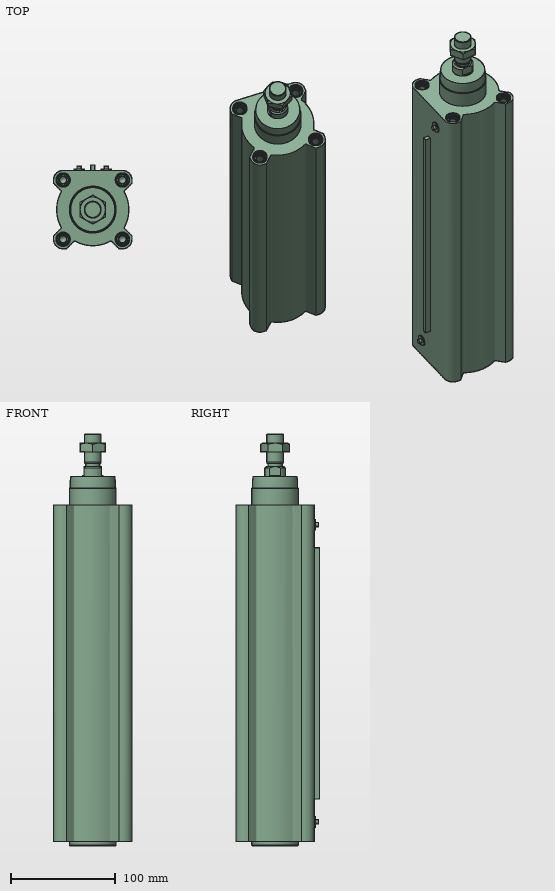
import cadquery as cq
import math


total_length = 393.0
rod_reach = 67.5
rear_boss_length = 4.0
barrel_length = total_length - rod_reach - rear_boss_length

barrel_width = 75.0
half_width = barrel_width / 2
screw_offset = 28.3
lobe_radius = half_width - screw_offset
lobe_flat_end = 25.0
barrel_arc_radius = 34.5
root_fillet = 1.0

collar_diameter = 45.0
collar_step_chamfer = 0.5
collar_step_height = 16.0
collar_height = 27.0
collar_neck_diameter = 43.2
collar_top_diameter = 42.0
collar_crown_bulge = 0.5
boss_chamfer = 0.8

screw_hole_steps = [(13.8, 1.0), (12.0, 2.5), (10.2, 3.5), (8.0, 4.7)]
thread_diameter = 6.5
thread_depth = 15.7
drill_point_angle = 118.0

rail_width = 4.0
rail_length = 240.0
rail_height = 5.0
fitting_offset = 13.0
fitting_inset = 19.0
fitting_pad_diameter = 10.2
fitting_pad_height = 1.0
fitting_pin_diameter = 4.5
fitting_pin_height = 4.0

rod_diameter = 20.0
rod_flat_width = 17.0
rod_flat_start = 28.0
rod_shoulder = 36.5
rod_shoulder_chamfer = 1.5
rod_neck_diameter = 13.8
rod_thread_start = 39.5
rod_thread_diameter = 16.0
rod_thread_chamfer = 0.6
rod_thread_runout = 1.5

nut_width = 24.0
nut_height = 8.3
nut_bottom = 50.7
nut_chamfer_drop = 1.0


def barrel_profile():
    """Round body with four corner lobes; the +Y side is closed flat."""
    gap = half_width - lobe_flat_end
    root_x = (math.sqrt(2 * barrel_arc_radius**2 - gap**2) - gap) / 2
    root_y = root_x + gap
    diagonal = screw_offset + lobe_radius * math.sqrt(0.5)

    def turned(x, y, quarter_turns):
        """The point turned clockwise about the axis."""
        for _ in range(quarter_turns):
            x, y = y, -x
        return (x, y)

    profile = (
        cq.Workplane("XY")
        .moveTo(-screw_offset, half_width)
        .lineTo(screw_offset, half_width)
    )
    for turns in range(4):
        profile = profile.threePointArc(
            turned(diagonal, diagonal, turns),
            turned(half_width, screw_offset, turns),
        )
        if turns < 3:
            profile = (
                profile.lineTo(*turned(half_width, lobe_flat_end, turns))
                .lineTo(*turned(root_y, root_x, turns))
                .threePointArc(
                    turned(barrel_arc_radius, 0, turns),
                    turned(root_y, -root_x, turns),
                )
                .lineTo(*turned(half_width, -lobe_flat_end, turns))
                .lineTo(*turned(half_width, -screw_offset, turns))
            )
    return profile.close()


def make_barrel():
    """Extruded barrel with rounded roots between the lobes and the round body."""
    barrel = barrel_profile().extrude(-barrel_length)

    def is_root(edge):
        middle = edge.Center()
        return math.hypot(middle.x, middle.y) < half_width

    return barrel.edges("|Z").filter(is_root).fillet(root_fillet)


def revolve_about_z(profile):
    """Solid of revolution from a half profile drawn in the XZ plane."""
    return profile.close().revolve(360, (0, 0, 0), (0, 1, 0))


def make_collar():
    """Stepped collar whose upper part narrows along a shallow arc."""
    crown_middle = (
        (collar_neck_diameter + collar_top_diameter) / 4 + collar_crown_bulge,
        (collar_step_height + collar_height) / 2,
    )
    return revolve_about_z(
        cq.Workplane("XZ")
        .lineTo(collar_diameter / 2, 0)
        .lineTo(collar_diameter / 2, collar_step_height - collar_step_chamfer)
        .lineTo(collar_diameter / 2 - collar_step_chamfer, collar_step_height)
        .lineTo(collar_neck_diameter / 2, collar_step_height)
        .threePointArc(crown_middle, (collar_top_diameter / 2, collar_height))
        .lineTo(0, collar_height)
    )


def make_rear_boss():
    return (
        cq.Workplane("XY", origin=(0, 0, -barrel_length))
        .circle(collar_diameter / 2)
        .extrude(-rear_boss_length)
        .faces("<Z")
        .chamfer(boss_chamfer)
    )


def make_screw_hole(x, y):
    """Cutter for a stepped, threaded corner hole with a drill-point bottom."""
    thread_radius = thread_diameter / 2
    point_length = thread_radius / math.tan(math.radians(drill_point_angle / 2))
    profile = cq.Workplane("XZ")
    top = 0
    for diameter, depth in screw_hole_steps:
        profile = profile.lineTo(diameter / 2, -top).lineTo(diameter / 2, -depth)
        top = depth
    profile = (
        profile.lineTo(thread_radius, -top)
        .lineTo(thread_radius, -thread_depth)
        .lineTo(0, -thread_depth - point_length)
    )
    cutter = revolve_about_z(profile)
    return cutter.translate((x, y, 0))


def make_rail():
    centre = (0, half_width + rail_height / 2, -barrel_length / 2)
    return cq.Workplane("XY").box(rail_width, rail_height, rail_length).translate(centre)


def make_fitting(x, z):
    """Round pad with a pin, pointing along +Y from the flat side."""
    def disc(diameter, height):
        return (
            cq.Workplane("XZ", origin=(x, half_width, z))
            .circle(diameter / 2)
            .extrude(-height)
        )

    pad = disc(fitting_pad_diameter, fitting_pad_height)
    return pad.union(disc(fitting_pin_diameter, fitting_pin_height))


def make_housing():
    housing = make_barrel()
    housing = housing.union(make_collar()).union(make_rear_boss()).union(make_rail())
    housing = housing.union(make_fitting(-fitting_offset, -fitting_inset))
    housing = housing.union(make_fitting(fitting_offset, fitting_inset - barrel_length))
    for x in (-screw_offset, screw_offset):
        for y in (-screw_offset, screw_offset):
            housing = housing.cut(make_screw_hole(x, y))
    rod_bore = cq.Workplane("XY").circle(rod_diameter / 2).extrude(collar_height)
    return housing.cut(rod_bore)


def make_rod():
    """Rod seated in the collar bore, with wrench flats, a neck and a threaded end."""
    thread_radius = rod_thread_diameter / 2
    shoulder_radius = rod_diameter / 2
    neck_radius = rod_neck_diameter / 2
    rod = revolve_about_z(
        cq.Workplane("XZ")
        .lineTo(shoulder_radius, 0)
        .lineTo(shoulder_radius, rod_shoulder - rod_shoulder_chamfer)
        .lineTo(shoulder_radius - rod_shoulder_chamfer, rod_shoulder)
        .lineTo(neck_radius, rod_shoulder)
        .lineTo(neck_radius, rod_thread_start)
        .lineTo(thread_radius - rod_thread_chamfer, rod_thread_start)
        .lineTo(thread_radius, rod_thread_start + rod_thread_runout)
        .lineTo(thread_radius, rod_reach - rod_thread_chamfer)
        .lineTo(thread_radius - rod_thread_chamfer, rod_reach)
        .lineTo(0, rod_reach)
    )
    flat_length = rod_shoulder - rod_flat_start
    flat_middle = (rod_shoulder + rod_flat_start) / 2
    cutter = cq.Workplane("XY").box(rod_diameter, rod_diameter, flat_length)
    cutter_x = (rod_flat_width + rod_diameter) / 2
    for x in (-cutter_x, cutter_x):
        rod = rod.cut(cutter.translate((x, 0, flat_middle)))
    return rod


def make_nut():
    """Hexagon nut with its corners bevelled on the top face, points along Y."""
    corner_diameter = nut_width / math.cos(math.pi / 6)
    corner_radius = corner_diameter / 2
    flat_radius = nut_width / 2
    blank = (
        cq.Workplane("XY", origin=(0, 0, nut_bottom))
        .transformed(rotate=(0, 0, 90))
        .polygon(6, corner_diameter)
        .extrude(nut_height)
    )
    nut_top = nut_bottom + nut_height
    bevel = revolve_about_z(
        cq.Workplane("XZ")
        .moveTo(0, nut_bottom)
        .lineTo(corner_radius, nut_bottom)
        .lineTo(corner_radius, nut_top - nut_chamfer_drop)
        .lineTo(flat_radius, nut_top)
        .lineTo(0, nut_top)
    )
    thread = (
        cq.Workplane("XY", origin=(0, 0, nut_bottom))
        .circle(rod_thread_diameter / 2)
        .extrude(nut_height)
    )
    return blank.intersect(bevel).cut(thread)


housing = make_housing()
rod = make_rod()
nut = make_nut()

result = cq.Compound.makeCompound([housing.val(), rod.val(), nut.val()])